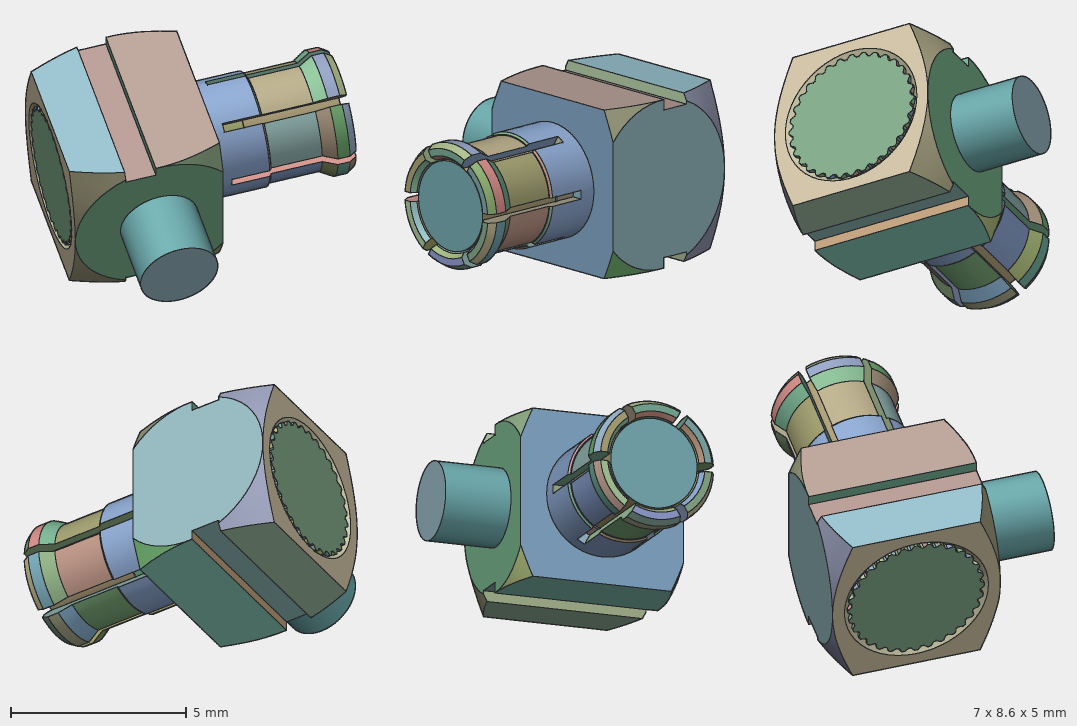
import cadquery as cq
import math


body_width = 5.0
body_length = 4.4
half_width = body_width / 2
body_front = -half_width
body_back = body_front + body_length
corner_angle = 30
side_face_radius = 2.49

groove_depth = 0.31
groove_width = 0.895
groove_inset = 2.0
groove_back = body_back - groove_inset

stub_length = 2.0
stub_end = half_width + stub_length
stub_radius = 1.15

recess_radius = 2.14
recess_depth = 0.26
cap_setback = 0.03
cap_crest_radius = 2.03
cap_valley_radius = 1.92
knurl_count = 32
crest_share = 0.25
valley_share = 0.2

plug_length = 4.2
plug_tip = body_back + plug_length
base_radius = 1.7
base_length = 1.685
base_chamfer = 0.06
sleeve_radius = 1.62
lip_radius = 1.85
lip_tip_radius = 1.71
lip_chamfer_length = 0.22
lip_land_length = 0.36
lip_taper_length = 0.395
bore_radius = 1.38
bore_flare_radius = 1.5
bore_flare_length = 0.155
bore_floor_height = 1.14
bore_floor = body_back + bore_floor_height
slot_floor_height = 0.5
slot_floor = body_back + slot_floor_height
slot_width = 0.26
slot_count = 6

core_radius = 1.325
core_setback = 0.17


def cylinder_along_y(radius, start, end):
    """Cylinder on the plug axis between two Y positions."""
    return cq.Workplane("XZ", origin=(0, start, 0)).circle(radius).extrude(start - end)


def make_body():
    """Square block with its eight corners cut back by a cone on each side face."""
    block = cq.Workplane("XY").box(body_width, body_length, body_width)
    block = block.translate((0, (body_front + body_back) / 2, 0))

    outer_radius = body_width
    cone_drop = (outer_radius - side_face_radius) * math.tan(math.radians(corner_angle))
    cone_edge = half_width - cone_drop
    envelope = (
        cq.Workplane("XY")
        .moveTo(-half_width, 0)
        .lineTo(-half_width, side_face_radius)
        .lineTo(-cone_edge, outer_radius)
        .lineTo(cone_edge, outer_radius)
        .lineTo(half_width, side_face_radius)
        .lineTo(half_width, 0)
        .close()
        .revolve(360, (0, 0, 0), (1, 0, 0))
    )
    return block.intersect(envelope)


def make_groove(side):
    """Cutter for the groove on the top (side = 1) or the bottom (side = -1)."""
    cutter = cq.Workplane("XY").box(2 * body_width, groove_width, 2 * groove_depth)
    return cutter.translate((0, groove_back - groove_width / 2, side * half_width))


def make_recess():
    """Cutter for the 45 degree countersink in the front face."""
    return (
        cq.Workplane("XY")
        .moveTo(0, body_front)
        .lineTo(recess_radius, body_front)
        .lineTo(recess_radius - recess_depth, body_front + recess_depth)
        .lineTo(0, body_front + recess_depth)
        .close()
        .revolve(360, (0, 0, 0), (0, 1, 0))
    )


def make_cap():
    """Knurled disc standing in the countersink, with a crest on the +X axis."""
    pitch = 2 * math.pi / knurl_count

    def rim_point(radius, angle):
        return (radius * math.cos(angle), radius * math.sin(angle))

    crest_half = crest_share * pitch / 2
    valley_half = valley_share * pitch / 2
    outline = cq.Workplane("XZ", origin=(0, body_front + cap_setback, 0))
    outline = outline.moveTo(*rim_point(cap_crest_radius, -crest_half))
    for tooth in range(knurl_count):
        crest = tooth * pitch
        valley = crest + pitch / 2
        outline = (
            outline
            .threePointArc(
                rim_point(cap_crest_radius, crest),
                rim_point(cap_crest_radius, crest + crest_half),
            )
            .lineTo(*rim_point(cap_valley_radius, valley - valley_half))
            .threePointArc(
                rim_point(cap_valley_radius, valley),
                rim_point(cap_valley_radius, valley + valley_half),
            )
        )
        if tooth < knurl_count - 1:
            outline = outline.lineTo(*rim_point(cap_crest_radius, crest + pitch - crest_half))
    return outline.close().extrude(-recess_depth)


def make_plug():
    """Snap-lipped sleeve, bored and slotted into spring fingers around a core."""
    lip_front = plug_tip - lip_chamfer_length
    lip_back = lip_front - lip_land_length
    sleeve_end = lip_back - lip_taper_length
    base_end = body_back + base_length
    plug = (
        cq.Workplane("XY")
        .moveTo(0, body_back)
        .lineTo(base_radius, body_back)
        .lineTo(base_radius, base_end - base_chamfer)
        .lineTo(base_radius - base_chamfer, base_end)
        .lineTo(sleeve_radius, base_end)
        .lineTo(sleeve_radius, sleeve_end)
        .lineTo(lip_radius, lip_back)
        .lineTo(lip_radius, lip_front)
        .lineTo(lip_tip_radius, plug_tip)
        .lineTo(0, plug_tip)
        .close()
        .revolve(360, (0, 0, 0), (0, 1, 0))
    )
    bore = (
        cq.Workplane("XY")
        .moveTo(0, bore_floor)
        .lineTo(bore_radius, bore_floor)
        .lineTo(bore_radius, plug_tip - bore_flare_length)
        .lineTo(bore_flare_radius, plug_tip)
        .lineTo(0, plug_tip)
        .close()
        .revolve(360, (0, 0, 0), (0, 1, 0))
    )
    plug = plug.cut(bore)

    slot_length = plug_tip - slot_floor
    slot = cq.Workplane("XY").box(lip_radius, slot_length, slot_width, centered=(False, False, True))
    slot = slot.translate((0, slot_floor, 0))
    slot = slot.cut(cylinder_along_y(bore_radius, slot_floor, plug_tip))
    for index in range(slot_count):
        plug = plug.cut(slot.rotate((0, 0, 0), (0, 1, 0), index * 360 / slot_count))

    core = cylinder_along_y(core_radius, body_back, plug_tip - core_setback)
    return plug.union(core)


def make_stub():
    """Plain round cable stub on the +X side, rooted at the body centre."""
    return cq.Workplane("YZ").circle(stub_radius).extrude(stub_end)


body = make_body()
for side in (1, -1):
    body = body.cut(make_groove(side))
body = body.cut(make_recess())

result = body.union(make_cap()).union(make_stub()).union(make_plug())